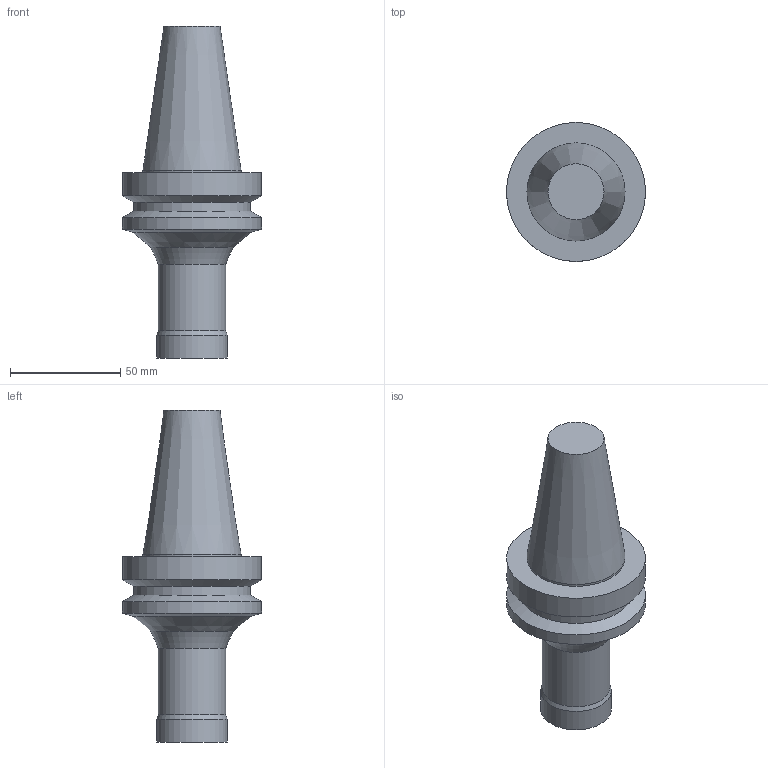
import cadquery as cq
import math

GAUGE_DIAMETER = 44.45
TAPER_LENGTH = 65.4
TAPER_RATIO = 7 / 24

FLANGE_DIAMETER = 63.0
FLANGE_TOP_Z = -1.0
FLANGE_BOTTOM_Z = -26.6

GROOVE_FLOOR_DIAMETER = 53.0
GROOVE_FLOOR_WIDTH = 4.1
GROOVE_CENTRE_Z = -16.45
GROOVE_FLANK_ANGLE = 30.0

CHAMFER_HEIGHT = 1.35
CHAMFER_END_DIAMETER = 54.0

NECK_DIAMETER = 30.5
NECK_TOP_Z = -42.6

CREASE_DIAMETER = 37.6
CREASE_Z = -34.9
FLARE_HOLLOW = 0.2

COLLAR_DIAMETER = 32.0
COLLAR_HEIGHT = 10.2
COLLAR_BEVEL_HEIGHT = 2.1
BOTTOM_Z = -85.0


def groove_heights():
    """Heights of the four groove corners, from the top one down."""
    flank_depth = (FLANGE_DIAMETER - GROOVE_FLOOR_DIAMETER) / 2
    flank_height = flank_depth * math.tan(math.radians(GROOVE_FLANK_ANGLE))
    half_floor = GROOVE_FLOOR_WIDTH / 2
    half_mouth = half_floor + flank_height
    offsets = (half_mouth, half_floor, -half_floor, -half_mouth)
    return [GROOVE_CENTRE_Z + offset for offset in offsets]


def half_profile():
    """Half section of the holder in the XZ plane, closed along the Z axis."""
    tip_radius = (GAUGE_DIAMETER - TAPER_LENGTH * TAPER_RATIO) / 2
    gauge_radius = GAUGE_DIAMETER / 2
    flange_radius = FLANGE_DIAMETER / 2
    floor_radius = GROOVE_FLOOR_DIAMETER / 2
    neck_radius = NECK_DIAMETER / 2
    collar_radius = COLLAR_DIAMETER / 2

    groove_top, floor_top, floor_bottom, groove_bottom = groove_heights()
    chamfer_end = (CHAMFER_END_DIAMETER / 2, FLANGE_BOTTOM_Z - CHAMFER_HEIGHT)
    crease = (CREASE_DIAMETER / 2, CREASE_Z)
    neck_top = (neck_radius, NECK_TOP_Z)
    collar_top_z = BOTTOM_Z + COLLAR_HEIGHT

    return (
        cq.Workplane("XZ")
        .moveTo(0, TAPER_LENGTH)
        .lineTo(tip_radius, TAPER_LENGTH)
        .lineTo(gauge_radius, 0)
        .lineTo(gauge_radius, FLANGE_TOP_Z)
        .lineTo(flange_radius, FLANGE_TOP_Z)
        .lineTo(flange_radius, groove_top)
        .lineTo(floor_radius, floor_top)
        .lineTo(floor_radius, floor_bottom)
        .lineTo(flange_radius, groove_bottom)
        .lineTo(flange_radius, FLANGE_BOTTOM_Z)
        .lineTo(*chamfer_end)
        .sagittaArc(crease, -FLARE_HOLLOW)
        .sagittaArc(neck_top, -FLARE_HOLLOW)
        .lineTo(neck_radius, collar_top_z + COLLAR_BEVEL_HEIGHT)
        .lineTo(collar_radius, collar_top_z)
        .lineTo(collar_radius, BOTTOM_Z)
        .lineTo(0, BOTTOM_Z)
        .close()
    )


result = half_profile().revolve(360, (0, 0, 0), (0, 1, 0))